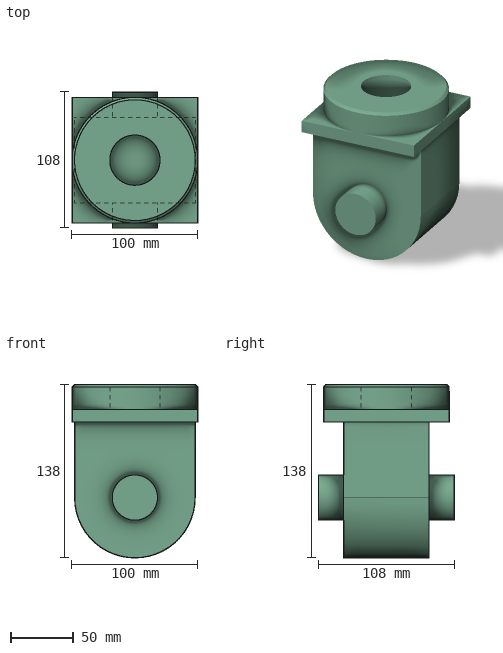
import cadquery as cq

PLATE_SIDE = 100.0
PLATE_THICKNESS = 10.0
DISC_DIAMETER = PLATE_SIDE
DISC_HEIGHT = 20.0
DISC_CHAMFER = 2.0
BORE_DIAMETER = 40.0
BORE_DEPTH = DISC_HEIGHT
LUG_WIDTH = 96.0
LUG_THICKNESS = 68.0
LUG_RISE = 60.0
PIN_DIAMETER = 36.0
PIN_LENGTH = 108.0

PLATE_BOTTOM = LUG_RISE
DISC_BOTTOM = PLATE_BOTTOM + PLATE_THICKNESS
DISC_TOP = DISC_BOTTOM + DISC_HEIGHT


def make_lug():
    """Upright block whose lower end is rounded about the pin axis."""
    radius = LUG_WIDTH / 2
    return (
        cq.Workplane("XZ")
        .moveTo(-radius, LUG_RISE)
        .lineTo(-radius, 0)
        .threePointArc((0, -radius), (radius, 0))
        .lineTo(radius, LUG_RISE)
        .close()
        .extrude(LUG_THICKNESS / 2, both=True)
    )


def make_pin():
    """Cross pin that stands out equally on both sides of the lug."""
    return cq.Workplane("XZ").circle(PIN_DIAMETER / 2).extrude(PIN_LENGTH / 2, both=True)


def make_plate():
    """Square plate on top of the lug."""
    return (
        cq.Workplane("XY")
        .workplane(offset=PLATE_BOTTOM)
        .rect(PLATE_SIDE, PLATE_SIDE)
        .extrude(PLATE_THICKNESS)
    )


def make_disc():
    """Round disc on the plate, with a chamfered top rim."""
    return (
        cq.Workplane("XY")
        .workplane(offset=DISC_BOTTOM)
        .circle(DISC_DIAMETER / 2)
        .extrude(DISC_HEIGHT)
        .faces(">Z")
        .edges()
        .chamfer(DISC_CHAMFER)
    )


def make_bore():
    """Blind bore through the disc, ending at the top of the plate."""
    return (
        cq.Workplane("XY")
        .workplane(offset=DISC_TOP)
        .circle(BORE_DIAMETER / 2)
        .extrude(-BORE_DEPTH)
    )


body = make_lug().union(make_pin()).union(make_plate()).union(make_disc())
result = body.cut(make_bore())